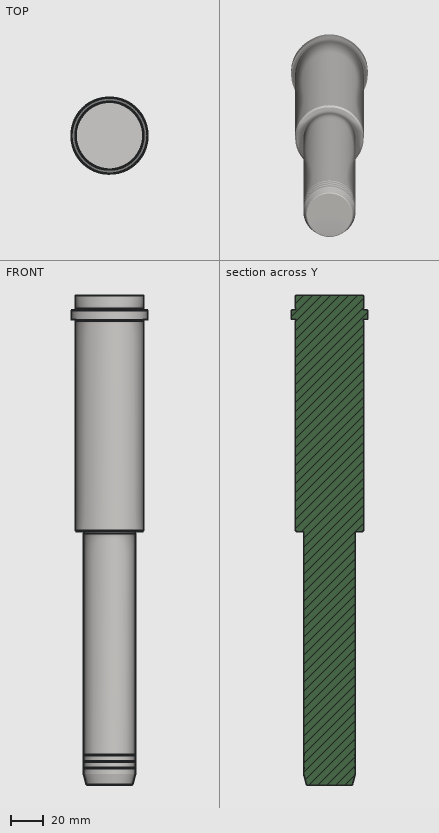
import cadquery as cq
import math

total_length = 300.0
body_length = 145.0
head_length = 9.0
collar_length = 6.0

body_radius = 21.0
collar_radius = 23.5
pin_radius = 16.0

body_chamfer = 1.0
edge_chamfer = 0.5

relief_width = 1.0
relief_depth = 0.1

lead_length = 7.0
lead_angle = 15.0

groove_count = 3
groove_pitch = 4.0
groove_width = 1.0
groove_depth = groove_width / 2
lowest_groove_z = 10.0

shoulder_z = total_length - body_length
collar_top_z = total_length - head_length
collar_bottom_z = collar_top_z - collar_length


def tip_points():
    cone_height = lead_length - edge_chamfer
    cone_radius = pin_radius - cone_height * math.tan(math.radians(lead_angle))
    return [(cone_radius - edge_chamfer, 0), (cone_radius, edge_chamfer), (pin_radius, lead_length)]


def groove_points(bottom_z):
    return [
        (pin_radius, bottom_z),
        (pin_radius - groove_depth, bottom_z + groove_width / 2),
        (pin_radius, bottom_z + groove_width),
    ]


def relief_points(radius, bottom_z):
    floor_radius = radius - relief_depth
    top_z = bottom_z + relief_width
    return [(radius, bottom_z), (floor_radius, bottom_z), (floor_radius, top_z), (radius, top_z)]


def pin_points():
    points = tip_points()
    for index in range(groove_count):
        points += groove_points(lowest_groove_z + index * groove_pitch)
    return points + relief_points(pin_radius, shoulder_z - relief_width)


def body_points():
    chamfer_start = (body_radius - body_chamfer, shoulder_z)
    chamfer_end = (body_radius, shoulder_z + body_chamfer)
    return [chamfer_start, chamfer_end] + relief_points(body_radius, collar_bottom_z - relief_width)


def collar_points():
    return [
        (collar_radius, collar_bottom_z),
        (collar_radius, collar_top_z - edge_chamfer),
        (collar_radius - edge_chamfer, collar_top_z),
    ]


def head_points():
    chamfer_start = (body_radius, total_length - edge_chamfer)
    chamfer_end = (body_radius - edge_chamfer, total_length)
    return relief_points(body_radius, collar_top_z) + [chamfer_start, chamfer_end]


def make_pillar():
    """Revolve the stepped half profile around the Z axis."""
    outer_points = pin_points() + body_points() + collar_points() + head_points()
    profile = cq.Workplane("XZ").polyline([(0, 0)] + outer_points + [(0, total_length)]).close()
    return profile.revolve(360, (0, 0), (0, 1))


result = make_pillar()